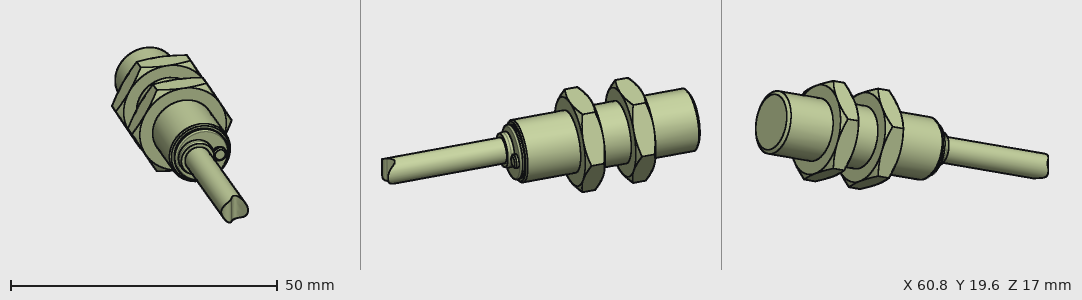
import cadquery as cq
import math

total_length = 60.75

barrel_diameter = 12.0
barrel_end = 34.9
face_diameter = 10.5
face_chamfer_length = 0.5
rear_chamfer = 0.3

neck_diameter = 10.3
neck_length = 0.4
rim_diameter = 10.5
rim_end = 35.85
rim_rounding = 0.3

nut_across_flats = 17.0
nut_width = 4.0
nut_starts = (9.95, 20.05)
nut_chamfer_angle = 30.0

cable_offset = -1.2
cable_diameter = 5.0
sleeve_diameter = 6.8
sleeve_end = 37.1
sleeve_taper_length = 0.6
sleeve_taper_depth = 0.2

lens_offset = 3.35
lens_diameter = 2.7
lens_end = 36.65
lens_chamfer = 0.3


def cylinder_along_x(diameter, start, end, offset=0.0):
    """Cylinder parallel to X, its axis shifted along Y by offset."""
    section = cq.Workplane("YZ", origin=(start, offset, 0)).circle(diameter / 2)
    return section.extrude(end - start)


def make_barrel():
    """Barrel, neck and rim turned as one profile."""
    barrel_radius = barrel_diameter / 2
    neck_end = barrel_end + neck_length
    profile = (
        cq.Workplane("XY")
        .moveTo(0, 0)
        .lineTo(0, face_diameter / 2)
        .lineTo(face_chamfer_length, barrel_radius)
        .lineTo(barrel_end - rear_chamfer, barrel_radius)
        .lineTo(barrel_end, barrel_radius - rear_chamfer)
        .lineTo(barrel_end, neck_diameter / 2)
        .lineTo(neck_end, neck_diameter / 2)
        .lineTo(neck_end, rim_diameter / 2)
        .lineTo(rim_end - rim_rounding, rim_diameter / 2)
        .tangentArcPoint((rim_end, rim_diameter / 2 - rim_rounding), relative=False)
        .lineTo(rim_end, 0)
        .close()
    )
    return profile.revolve(360, (0, 0, 0), (1, 0, 0))


def make_nut(start):
    """Hexagon prism with its corners trimmed by a cone at both faces."""
    corner_radius = nut_across_flats / math.sqrt(3)
    flat_radius = nut_across_flats / 2
    chamfer_length = (corner_radius - flat_radius) * math.tan(math.radians(nut_chamfer_angle))
    end = start + nut_width
    hexagon = (
        cq.Workplane("YZ", origin=(start, 0, 0))
        .polygon(6, 2 * corner_radius)
        .extrude(nut_width)
    )
    envelope = (
        cq.Workplane("XY")
        .moveTo(start, 0)
        .lineTo(start, flat_radius)
        .lineTo(start + chamfer_length, corner_radius)
        .lineTo(end - chamfer_length, corner_radius)
        .lineTo(end, flat_radius)
        .lineTo(end, 0)
        .close()
        .revolve(360, (0, 0, 0), (1, 0, 0))
    )
    return hexagon.intersect(envelope)


def make_cable():
    """Cable whose free end is torn off along a wavy line, uniform in Z."""
    radius = cable_diameter / 2
    valley = (58.9, 1.0)
    tip_side = (59.8, 1.75)
    lobe_start = (59.9, -0.6)
    lobe_peak = (60.45, -1.35)
    lobe_end = (59.8, -radius)
    torn_outline = (
        cq.Workplane("XY", origin=(0, cable_offset, -radius))
        .moveTo(rim_end, -radius)
        .lineTo(*lobe_end)
        .threePointArc(lobe_peak, lobe_start)
        .spline([valley, tip_side, (total_length, radius)], includeCurrent=True)
        .lineTo(rim_end, radius)
        .close()
        .extrude(cable_diameter)
    )
    return cylinder_along_x(cable_diameter, rim_end, total_length, cable_offset).intersect(torn_outline)


def make_sleeve():
    sleeve = cylinder_along_x(sleeve_diameter, rim_end, sleeve_end - sleeve_taper_length, cable_offset)
    taper = (
        cq.Workplane("YZ", origin=(sleeve_end - sleeve_taper_length, cable_offset, 0))
        .circle(sleeve_diameter / 2)
        .workplane(offset=sleeve_taper_length)
        .circle(sleeve_diameter / 2 - sleeve_taper_depth)
        .loft(ruled=True)
    )
    return sleeve.union(taper)


def make_lens():
    lens = cylinder_along_x(lens_diameter, rim_end, lens_end, lens_offset)
    return lens.faces(">X").chamfer(lens_chamfer)


result = make_barrel().union(make_sleeve()).union(make_lens()).union(make_cable())
for nut_start in nut_starts:
    result = result.union(make_nut(nut_start))